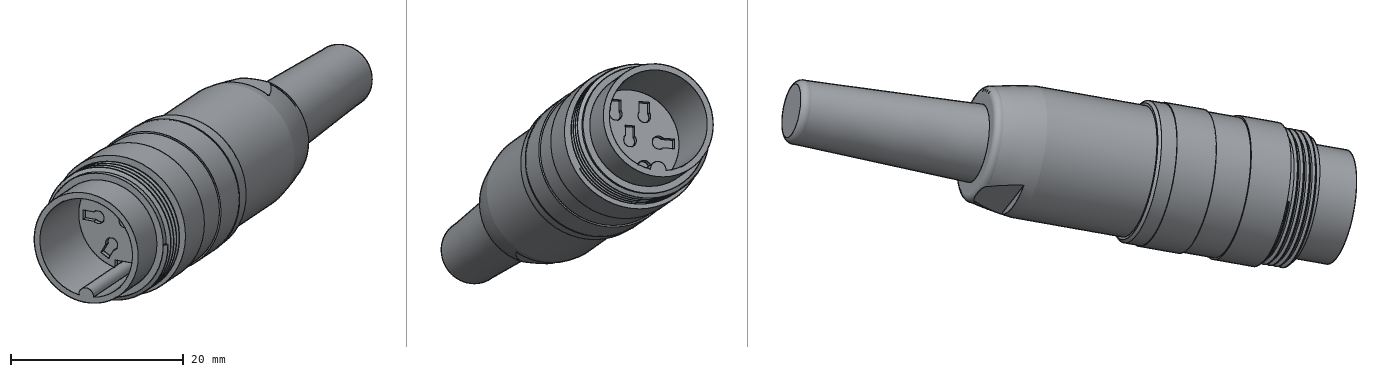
import cadquery as cq
import math

length = 67.4

shell_radius = 6.75
bore_radius = 6.0
insert_depth = 10.1
key_radius = 0.95
key_center_z = -5.85
notch_width = 2.6
notch_depth = 0.7

contact_radius = 0.775
contact_circle_radius = 3.5
contact_depth = 0.7

thread_start = 4.85
thread_end = 8.75
thread_crest_radius = 8.0
thread_root_radius = 7.55
thread_pitch = 0.75
thread_overlap = 0.1
thread_crest_width = 0.1
thread_base_width = 0.64

ring_radius = 8.5
band_radius = 8.3
band_start = 13.7
band_end = 18.0
collar_radius = 8.39
collar_start = 22.85
collar_end = 25.1
collar_chamfer = 0.35

body_radius = 7.75
taper_start = 38.6
taper_middle = (7.38, 41.2)
taper_end_radius = 6.9
taper_end = 43.75
body_end = 44.6
body_end_radius = 6.1
flat_start = 40.05
flat_offset = 6.57

boot_base_radius = 4.62
boot_tip_radius = 3.8
boot_end_radius = 3.2
boot_tip_start = 66.3


def corner_middle(radius_start, y_start, radius_end, y_end):
    """Point halfway along a rounded corner, on the outer side of its chord."""
    corner_fraction = math.sqrt(0.5)
    return (
        radius_end + (radius_start - radius_end) * corner_fraction,
        y_start + (y_end - y_start) * corner_fraction,
    )


def make_body():
    """Revolve the outer profile of the whole connector about Y."""
    return (
        cq.Workplane("XY")
        .lineTo(shell_radius, 0)
        .lineTo(shell_radius, thread_start)
        .lineTo(thread_root_radius, thread_start)
        .lineTo(thread_root_radius, thread_end)
        .lineTo(ring_radius, thread_end)
        .lineTo(ring_radius, band_start)
        .lineTo(band_radius, band_start)
        .lineTo(band_radius, band_end)
        .lineTo(ring_radius, band_end)
        .lineTo(ring_radius, collar_start)
        .lineTo(collar_radius, collar_start)
        .lineTo(collar_radius, collar_end - collar_chamfer)
        .lineTo(collar_radius - collar_chamfer, collar_end)
        .lineTo(body_radius, collar_end)
        .lineTo(body_radius, taper_start)
        .threePointArc(taper_middle, (taper_end_radius, taper_end))
        .threePointArc(
            corner_middle(taper_end_radius, taper_end, body_end_radius, body_end),
            (body_end_radius, body_end),
        )
        .lineTo(boot_base_radius, body_end)
        .lineTo(boot_tip_radius, boot_tip_start)
        .threePointArc(
            corner_middle(boot_tip_radius, boot_tip_start, boot_end_radius, length),
            (boot_end_radius, length),
        )
        .lineTo(0, length)
        .close()
        .revolve(360, (0, 0, 0), (0, 1, 0))
    )


def make_thread():
    """Helical ridge whose base sinks slightly into the thread core."""
    margin = thread_base_width / 2
    helix_length = thread_end - thread_start - 2 * margin
    helix = cq.Wire.makeHelix(thread_pitch, helix_length, thread_root_radius)
    inner = thread_root_radius - thread_overlap
    ridge = (
        cq.Workplane("XZ")
        .polyline([
            (inner, -thread_base_width / 2),
            (thread_crest_radius, -thread_crest_width / 2),
            (thread_crest_radius, thread_crest_width / 2),
            (inner, thread_base_width / 2),
        ])
        .close()
        .sweep(cq.Workplane(obj=helix), isFrenet=True)
    )
    along_y = ridge.rotate((0, 0, 0), (1, 0, 0), -90)
    return along_y.translate((0, thread_start + margin, 0))


def cylinder(radius, y_start, depth, x=0, z=0):
    """Cylinder along +Y."""
    return cq.Workplane("XZ", origin=(x, y_start, z)).circle(radius).extrude(-depth)


def make_bore():
    """Round socket with a key rib that runs along its lower wall."""
    bore = cylinder(bore_radius, 0, insert_depth)
    key = cylinder(key_radius, 0, insert_depth, z=key_center_z)
    return bore.cut(key)


def make_key_notch():
    """Square-sided recess in the insert, on both sides of the key."""
    notch_top = key_center_z + key_radius
    notch_height = notch_top + bore_radius
    notch = cq.Workplane("XY").box(
        notch_width, notch_depth, notch_height, centered=(True, False, False)
    ).translate((0, insert_depth, -bore_radius))
    wall_limit = cylinder(bore_radius, insert_depth, notch_depth)
    key = cylinder(key_radius, insert_depth, notch_depth, z=key_center_z)
    return notch.intersect(wall_limit).cut(key)


def make_contact(radial_position, position_angle, slot_angle, slot_length, slot_width):
    """Keyhole pocket; angles are in degrees from +X towards +Z."""
    angle = math.radians(position_angle)
    x = radial_position * math.cos(angle)
    z = radial_position * math.sin(angle)
    opening = cylinder(contact_radius, insert_depth, contact_depth)
    slot = cq.Workplane("XY").box(
        slot_length, contact_depth, slot_width, centered=(False, False, True)
    ).translate((0, insert_depth, 0))
    keyhole = opening.union(slot).rotate((0, 0, 0), (0, 1, 0), -slot_angle)
    return keyhole.translate((x, 0, z))


def make_flat_cut(side):
    """Block that trims the rear taper at one Z side."""
    size = 2 * body_radius
    block = cq.Workplane("XY").box(
        size, body_end - flat_start, size, centered=(True, False, True)
    )
    return block.translate((0, flat_start, side * (flat_offset + size / 2)))


result = make_body().union(make_thread()).cut(make_bore()).cut(make_key_notch())

for side in (-1, 1):
    result = result.cut(make_flat_cut(side))

contacts = [
    (0, 0, 90, 1.75, 1.15),
    (contact_circle_radius, 0, 0, 1.95, 1.15),
    (contact_circle_radius, 60, 90, 1.7, 1.3),
    (contact_circle_radius, 120, 90, 1.7, 1.3),
    (contact_circle_radius, 180, 180, 1.95, 1.15),
    (contact_circle_radius, 240, 240, 1.75, 1.15),
    (contact_circle_radius, 300, 300, 1.75, 1.15),
]
for contact in contacts:
    result = result.cut(make_contact(*contact))